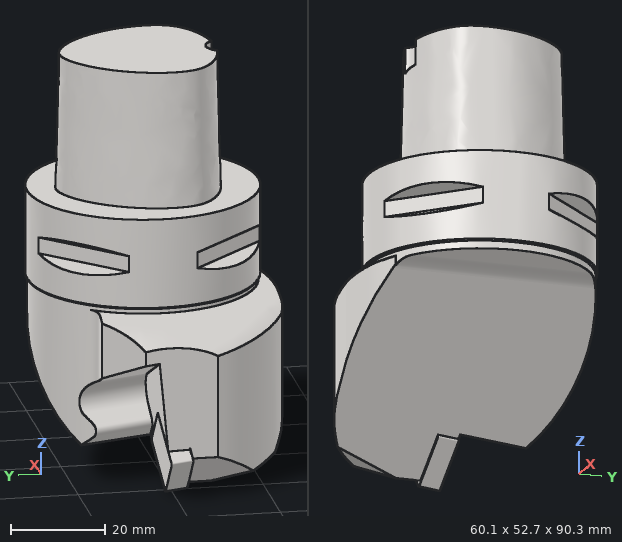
import cadquery as cq
import math


shank_height = 30.0
shank_radius = 17.6
lobe_height = 1.2
shank_taper = 1 / 40
lobe_points = 36
notch_radius = 3.9
notch_depth = 5.7
notch_offset = 17.5

flange_radius = 50.0 / 2
flange_height = 20.05
flange_chamfer = 0.4
neck_radius = flange_radius - flange_chamfer
slot_count = 4
slot_first_angle = 45
slot_depth = 2.9
slot_centre_z = -9.9
slot_floor_width = 3.5
slot_mouth_width = 6.7

wing_x = -33.1
wing_back_y = 13.5
wing_front_y = -27.7
wing_chamfer = 7.95
wing_flat_end_y = -10.1
wing_root_fillet = 3.6
wing_nose_mid = (-26.8, -20.0)
wing_nose_end = (-17.6, -26.6)
wing_blend_mid = (-15.1, -27.4)
wing_front_start_x = -12.5
wing_front_end_x = -6.5
wing_return_mid = (2.7, -25.9)
wing_return_end = (10.4, -22.5)
shoulder_top_z = -21.0
shoulder_mid = (30.3, -23.6)
shoulder_end = (34.8, -29.0)
face_z = -21.8
slope_offset = 33.4
end_offset = 84.2
slope_fillet = 6.5
relief_z = -54.6
relief_y = -24.4
relief_slope = 0.29

tip = (-26.3, 0, -60.5)
insert_side = 12.7
insert_thickness = 4.8
insert_corner = 0.45
tilt_x = 0.06
tilt_z = 0.094
pocket_reach = 36.1

pocket_left = -14.5
pocket_bottom = -13.55
roof_start_height = 34.8
roof_end = (6.9, 24.7)
hollow_mid = (9.4, 20.95)
hollow_end = (8.85, 17.5)
lip_start = (6.95, 15.2)
lip_mid = (6.4, 13.9)
lip_end = (6.9, 12.6)
pocket_right = 12.6
insert_plane = cq.Plane(origin=tip, xDir=(1, tilt_x, 0), normal=(tilt_x, -1, tilt_z))


def lobed_wire(mean_radius, height):
    """Three-lobed outline of constant width with one lobe toward +Y."""
    points = []
    for i in range(lobe_points):
        angle = 2 * math.pi * i / lobe_points
        support = mean_radius - lobe_height * math.sin(3 * angle)
        slope = -3 * lobe_height * math.cos(3 * angle)
        x = support * math.cos(angle) - slope * math.sin(angle)
        y = support * math.sin(angle) + slope * math.cos(angle)
        points.append(cq.Vector(x, y, height))
    return cq.Wire.assembleEdges([cq.Edge.makeSpline(points, periodic=True)])


def make_shank():
    top_radius = shank_radius - shank_taper * shank_height
    wires = [lobed_wire(shank_radius, 0), lobed_wire(top_radius, shank_height)]
    shank = cq.Workplane(cq.Solid.makeLoft(wires, True))
    notch = (
        cq.Workplane("XY", origin=(0, -notch_offset, shank_height))
        .circle(notch_radius)
        .extrude(-notch_depth)
    )
    return shank.cut(notch)


def make_flange():
    flange = (
        cq.Workplane("XY")
        .circle(flange_radius)
        .extrude(-flange_height)
        .faces("<Z")
        .chamfer(flange_chamfer)
    )
    floor_x = flange_radius - slot_depth
    flare = (slot_mouth_width - slot_floor_width) / 2 / slot_depth
    outer_x = flange_radius + slot_depth
    outer_half = slot_floor_width / 2 + flare * (outer_x - floor_x)
    slot = (
        cq.Workplane("XZ")
        .polyline([
            (floor_x, slot_centre_z - slot_floor_width / 2),
            (outer_x, slot_centre_z - outer_half),
            (outer_x, slot_centre_z + outer_half),
            (floor_x, slot_centre_z + slot_floor_width / 2),
        ])
        .close()
        .extrude(flange_radius, both=True)
    )
    for i in range(slot_count):
        angle = slot_first_angle + i * 360 / slot_count
        flange = flange.cut(slot.rotate((0, 0, 0), (0, 0, 1), angle))
    return flange


def make_wing():
    """Plan outline of the wing that reaches out toward -X."""
    return (
        cq.Workplane("XY", origin=(0, 0, tip[2]))
        .moveTo(0, wing_back_y)
        .lineTo(wing_x + wing_chamfer, wing_back_y)
        .lineTo(wing_x, wing_back_y - wing_chamfer)
        .lineTo(wing_x, wing_flat_end_y)
        .threePointArc(wing_nose_mid, wing_nose_end)
        .threePointArc(wing_blend_mid, (wing_front_start_x, wing_front_y))
        .lineTo(wing_front_end_x, wing_front_y)
        .threePointArc(wing_return_mid, wing_return_end)
        .lineTo(0, 0)
        .close()
        .extrude(-tip[2])
    )


def make_shoulder_envelope():
    """Turned shape whose rounded shoulder trims the top of the wing."""
    return (
        cq.Workplane("XZ")
        .moveTo(0, tip[2])
        .lineTo(0, -flange_height)
        .lineTo(neck_radius, -flange_height)
        .lineTo(neck_radius, shoulder_top_z)
        .threePointArc(shoulder_mid, shoulder_end)
        .lineTo(shoulder_end[0], tip[2])
        .close()
        .revolve(360, (0, 0, 0), (0, 1, 0))
    )


def make_side_envelope():
    """Side profile with the sloping underside and the end face."""
    corner_x = face_z + slope_offset
    tangent = slope_fillet * math.tan(math.radians(22.5))
    tangent_step = tangent * math.sqrt(0.5)
    apex_x = (slope_offset - end_offset) / 2
    return (
        cq.Workplane("XZ")
        .moveTo(wing_x, 0)
        .lineTo(flange_radius, 0)
        .lineTo(flange_radius, face_z)
        .lineTo(corner_x + tangent, face_z)
        .tangentArcPoint((corner_x - tangent_step, face_z - tangent_step), relative=False)
        .lineTo(apex_x, apex_x - slope_offset)
        .lineTo(wing_x, -wing_x - end_offset)
        .close()
        .extrude(shoulder_end[0], both=True)
    )


def make_bottom_relief():
    """Wedge that lifts the bottom of the head toward -Y."""
    outer_y = -shoulder_end[0]
    outer_z = relief_z + relief_slope * (relief_y - outer_y)
    inner_z = relief_z + relief_slope * relief_y
    return (
        cq.Workplane("YZ")
        .polyline([(outer_y, outer_z), (0, inner_z), (outer_y, inner_z)])
        .close()
        .extrude(-shoulder_end[0])
    )


def make_chip_pocket():
    """Recess above the insert, with coordinates measured from the insert tip."""
    return (
        cq.Workplane(insert_plane)
        .moveTo(pocket_left, roof_start_height)
        .lineTo(*roof_end)
        .threePointArc(hollow_mid, hollow_end)
        .lineTo(*lip_start)
        .threePointArc(lip_mid, lip_end)
        .lineTo(pocket_right, lip_end[1] - (pocket_right - lip_end[0]))
        .lineTo(pocket_right, pocket_bottom)
        .lineTo(pocket_left, pocket_bottom)
        .close()
        .extrude(-pocket_reach)
    )


def make_insert():
    half_diagonal = insert_side * math.sqrt(0.5)
    return (
        cq.Workplane(insert_plane)
        .center(0, half_diagonal)
        .transformed(rotate=(0, 0, 45))
        .rect(insert_side, insert_side)
        .extrude(insert_thickness)
        .edges(cq.selectors.ParallelDirSelector(insert_plane.zDir))
        .fillet(insert_corner)
    )


def make_holder(insert):
    core = cq.Workplane("XY").circle(neck_radius).extrude(tip[2])
    root_x = -math.sqrt(neck_radius**2 - wing_back_y**2)
    blank = (
        core.union(make_wing())
        .edges(cq.selectors.NearestToPointSelector((root_x, wing_back_y, tip[2] / 2)))
        .fillet(wing_root_fillet)
    )
    head = blank.intersect(make_shoulder_envelope()).intersect(make_side_envelope())
    head = head.cut(make_bottom_relief()).cut(make_chip_pocket()).cut(insert)
    return make_flange().union(make_shank()).union(head)


insert = make_insert()
holder = make_holder(insert)
result = cq.Compound.makeCompound([holder.val(), insert.val()])